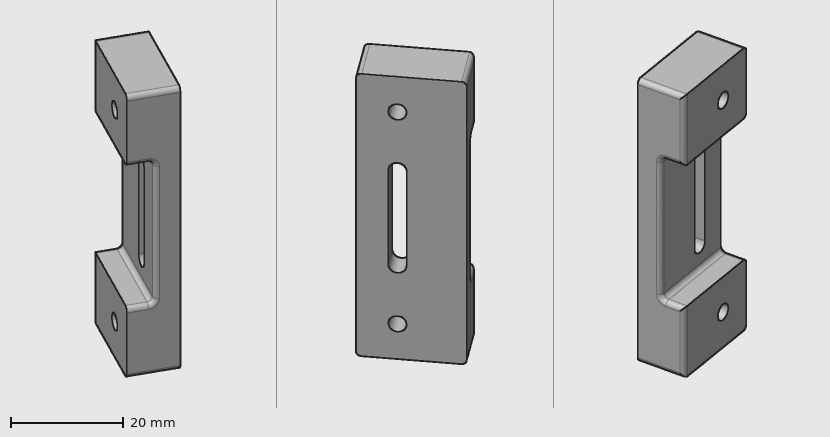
import cadquery as cq

LENGTH = 60.0
WIDTH = LENGTH / 3
DEPTH = LENGTH / 6
PAD_LENGTH = LENGTH / 4
FLOOR_DEPTH = DEPTH / 2
EDGE_RADIUS = DEPTH / 10
HOLE_DIAMETER = 3.3
SLOT_CENTER_SPAN = LENGTH / 3

SIDE_X = WIDTH / 2
FRONT_Y = -DEPTH / 2
BACK_Y = DEPTH / 2
RECESS_LENGTH = LENGTH - 2 * PAD_LENGTH
HOLE_X = WIDTH / 8
HOLE_Z = (LENGTH - PAD_LENGTH) / 2
TOLERANCE = 0.005


def recessed_block():
    """Block with a full-width front recess, rounded at its inner corners."""
    block = cq.Workplane("XY").box(WIDTH, DEPTH, LENGTH)
    recess_depth = DEPTH - FLOOR_DEPTH
    recess = (
        cq.Workplane("XY")
        .box(WIDTH, recess_depth, RECESS_LENGTH)
        .translate((0, FRONT_Y + recess_depth / 2, 0))
        .faces(">Y")
        .edges("|X")
        .fillet(EDGE_RADIUS)
    )
    return block.cut(recess)


def is_rounded(edge):
    """Side edges are rounded, except along the back and the +X pad fronts."""
    center = edge.Center()
    box = edge.BoundingBox()
    on_side = box.xlen < TOLERANCE and abs(abs(center.x) - SIDE_X) < TOLERANCE
    on_back = abs(center.y - BACK_Y) < TOLERANCE
    on_right_pad_front = center.x > 0 and abs(center.y - FRONT_Y) < TOLERANCE
    return on_side and not on_back and not on_right_pad_front


def round_side_edges(body):
    edges = [edge for edge in body.edges().vals() if is_rounded(edge)]
    return body.newObject(edges).fillet(EDGE_RADIUS)


def through_openings():
    """Cutters for the two pad holes and the long slot between them."""
    holes = (
        cq.Workplane("XZ")
        .pushPoints([(HOLE_X, -HOLE_Z), (HOLE_X, HOLE_Z)])
        .circle(HOLE_DIAMETER / 2)
        .extrude(DEPTH, both=True)
    )
    slot = (
        cq.Workplane("XZ")
        .center(HOLE_X, 0)
        .slot2D(SLOT_CENTER_SPAN + HOLE_DIAMETER, HOLE_DIAMETER, 90)
        .extrude(DEPTH, both=True)
    )
    return holes.union(slot)


result = round_side_edges(recessed_block()).cut(through_openings())